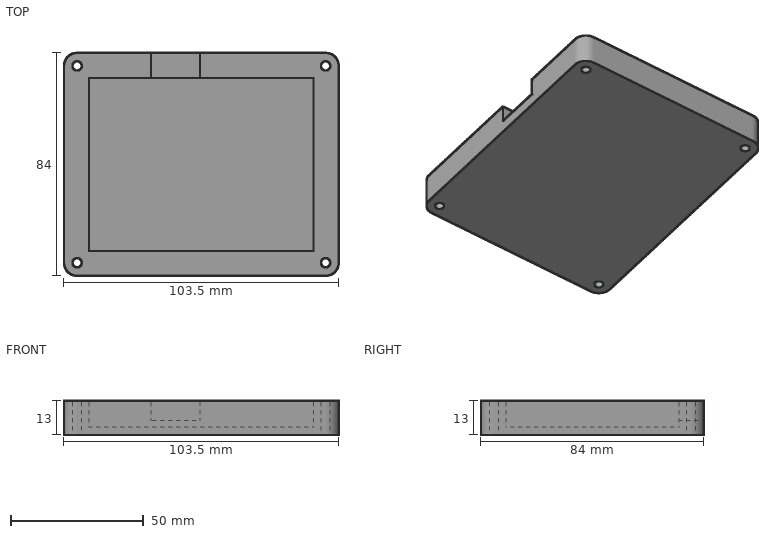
import cadquery as cq

LENGTH = 103.5
WIDTH = 84.0
HEIGHT = 13.0
CORNER_RADIUS = 5.0

CAVITY_LENGTH = 84.6
WALL = (LENGTH - CAVITY_LENGTH) / 2
CAVITY_WIDTH = WIDTH - 2 * WALL
CAVITY_DEPTH = 10.0

NOTCH_LENGTH = 18.4
NOTCH_CENTRE_X = -9.7
NOTCH_DEPTH = 7.5

HOLE_DIAMETER = 3.4
SLEEVE_DIAMETER = 6.0
HOLE_PITCH_X = LENGTH - 2 * CORNER_RADIUS
HOLE_PITCH_Y = WIDTH - 2 * CORNER_RADIUS


def block_below_top(length, width, depth):
    """A box centred in X and Y that reaches down from the top face."""
    return (
        cq.Workplane("XY")
        .workplane(offset=HEIGHT - depth)
        .rect(length, width)
        .extrude(depth)
    )


def tray_body():
    """The solid block with rounded vertical corners."""
    return (
        cq.Workplane("XY")
        .rect(LENGTH, WIDTH)
        .extrude(HEIGHT)
        .edges("|Z")
        .fillet(CORNER_RADIUS)
    )


def wall_notch():
    """The cutter for the notch, from the middle of the cavity out to the +Y side."""
    reach = WIDTH / 2
    notch = block_below_top(NOTCH_LENGTH, reach, NOTCH_DEPTH)
    return notch.translate((NOTCH_CENTRE_X, reach / 2, 0))


def corner_cylinders(diameter):
    """Full-height cylinders, one at each screw position."""
    return (
        cq.Workplane("XY")
        .rect(HOLE_PITCH_X, HOLE_PITCH_Y, forConstruction=True)
        .vertices()
        .circle(diameter / 2)
        .extrude(HEIGHT)
    )


def add_screw_sleeves(body):
    """Bored sleeves set flush in the corners, their outlines kept as edges on the top face."""
    sleeve_seats = corner_cylinders(SLEEVE_DIAMETER)
    sleeves = sleeve_seats.cut(corner_cylinders(HOLE_DIAMETER))
    return body.cut(sleeve_seats).union(sleeves, clean=False)


cavity = block_below_top(CAVITY_LENGTH, CAVITY_WIDTH, CAVITY_DEPTH)
tray = tray_body().cut(cavity).cut(wall_notch())
result = add_screw_sleeves(tray).solids()